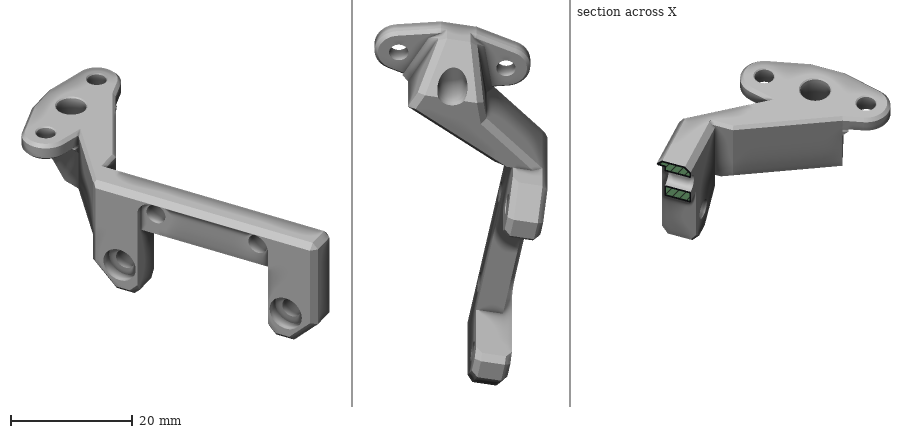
import cadquery as cq
import math


plate_thickness = 3.0
plate_hole_pitch = 18.0
plate_end_radius = 4.0
plate_side_flat = 6.0
side_lean_angle = 15.0
center_hole_diameter = 5.0
plate_hole_diameter = 3.2
hole_chamfer = 0.2
plate_chamfer = 0.55

arm_depth = 12.0
arm_root_y = 6.6
arm_bend_y = -9.46
arm_tip_height = 5.0
edge_chamfer = 1.0

bar_length = 42.0
bar_left = 13.32
bar_front = -18.6
bar_thickness = 6.0
bar_height = 7.7
leg_depth = 20.24
leg_corner_cut = 4.45
bar_hole_pitch = 19.0
bar_hole_depth = 3.75
bar_hole_diameter = 3.5
recess_radius = 2.7
recess_depth = 1.5
leg_hole_pitch = 31.0
leg_hole_depth = 14.8
leg_hole_diameter = 3.4
leg_counterbore_diameter = 6.0
leg_counterbore_depth = 2.0

end_y = plate_hole_pitch / 2
flat_y = plate_side_flat / 2
lean = math.radians(side_lean_angle)
tangent_x = plate_end_radius * math.cos(lean)
tangent_y = end_y + plate_end_radius * math.sin(lean)
plate_half_width = tangent_x + math.tan(lean) * (tangent_y - flat_y)
arm_root_x = tangent_x + math.tan(lean) * (tangent_y - arm_root_y)
flank_angle = math.atan2(arm_root_y - flat_y, arm_root_x + plate_half_width)
slope_run = arm_depth - arm_tip_height
slope_end_x = slope_run - plate_half_width
bar_right = bar_left + bar_length
bar_center = (bar_left + bar_right) / 2
bar_back = bar_front + bar_thickness
gap_half = bar_hole_pitch / 2 + recess_radius


tolerance = 1e-3


def edges_where(solid, condition):
    """Edges whose midpoint satisfies the condition."""
    chosen = [edge for edge in solid.edges().vals() if condition(edge.Center())]
    return solid.newObject(chosen)


def near(value, target):
    return abs(value - target) < tolerance


def plate_prism(depth):
    end = end_y + plate_end_radius
    return (
        cq.Workplane("XY")
        .moveTo(-plate_half_width, -flat_y)
        .lineTo(-tangent_x, -tangent_y)
        .threePointArc((0, -end), (tangent_x, -tangent_y))
        .lineTo(plate_half_width, -flat_y)
        .lineTo(plate_half_width, flat_y)
        .lineTo(tangent_x, tangent_y)
        .threePointArc((0, end), (-tangent_x, tangent_y))
        .lineTo(-plate_half_width, flat_y)
        .close()
        .extrude(-depth)
    )


def make_plate():
    return plate_prism(plate_thickness).faces("<Z").edges().chamfer(plate_chamfer)


def make_arm():
    """Arm from the plate to the bar, with a 45 degree slope under its free end."""
    outline = [
        (-plate_half_width, -flat_y),
        (arm_root_x, -arm_root_y),
        (bar_left, bar_front + edge_chamfer),
        (bar_left, arm_bend_y),
        (arm_root_x, arm_root_y),
        (-plate_half_width, flat_y),
    ]
    slope_cut = (
        cq.Workplane("XZ")
        .moveTo(-plate_half_width, -arm_tip_height)
        .lineTo(-plate_half_width, -arm_depth)
        .lineTo(slope_end_x, -arm_depth)
        .close()
        .extrude(arm_root_y, both=True)
    )
    arm = cq.Workplane("XY").polyline(outline).close().extrude(-arm_depth).cut(slope_cut)

    def is_chamfered(center):
        around_end = center.z < -tolerance and center.x < 0 and abs(center.y) > tolerance
        on_bottom = near(center.z, -arm_depth) and not near(center.x, bar_left)
        on_slope_foot = near(center.x, slope_end_x)
        return around_end or (on_bottom and not on_slope_foot)

    return edges_where(arm, is_chamfered).chamfer(edge_chamfer)


def make_support():
    """45 degree shoulder under the plate, along both flanks of the arm."""
    top_z = -plate_thickness
    wedge_outline = [
        (-plate_half_width, -flat_y),
        (arm_root_x, -arm_root_y),
        (arm_root_x, arm_root_y),
        (-plate_half_width, flat_y),
    ]
    shoulder = (
        cq.Workplane("XY", origin=(0, 0, top_z - edge_chamfer))
        .polyline(wedge_outline)
        .close()
        .extrude(edge_chamfer, taper=-45)
    )
    corner_y = flat_y - edge_chamfer
    corner_run = edge_chamfer * math.cos(flank_angle)
    corner_rise = edge_chamfer * (1 + math.sin(flank_angle))
    far_x = arm_root_x + edge_chamfer
    far_y = corner_y + (far_x + plate_half_width) * corner_rise / corner_run
    corner_planes = (
        cq.Workplane("XY")
        .polyline([
            (-plate_half_width, -corner_y),
            (far_x, -far_y),
            (far_x, far_y),
            (-plate_half_width, corner_y),
        ])
        .close()
        .extrude(top_z - edge_chamfer)
    )
    return shoulder.intersect(corner_planes).intersect(plate_prism(-top_z + edge_chamfer))


def make_bar():
    cut = leg_corner_cut
    inner_left = bar_center - gap_half
    inner_right = bar_center + gap_half
    outline = [
        (bar_left, 0),
        (bar_left, cut - leg_depth),
        (bar_left + cut, -leg_depth),
        (inner_left - edge_chamfer, -leg_depth),
        (inner_left, edge_chamfer - leg_depth),
        (inner_left, -bar_height),
        (inner_right, -bar_height),
        (inner_right, edge_chamfer - leg_depth),
        (inner_right + edge_chamfer, -leg_depth),
        (bar_right - cut, -leg_depth),
        (bar_right, cut - leg_depth),
        (bar_right, 0),
    ]
    bar = cq.Workplane("XZ", origin=(0, bar_back, 0)).polyline(outline).close().extrude(bar_thickness)

    def is_chamfered(center):
        inside_gap = abs(center.x - bar_center) < gap_half + tolerance and center.z < -tolerance
        on_front = near(center.y, bar_front) and not inside_gap
        on_back = near(center.y, bar_back) and not inside_gap and not near(center.x, bar_left)
        right_top = near(center.x, bar_right) and near(center.z, 0)
        return on_front or on_back or right_top

    return edges_where(bar, is_chamfered).chamfer(edge_chamfer)


def make_recess():
    """Front pocket between the legs, rounded about the two bar holes."""
    half_pitch = bar_hole_pitch / 2
    return (
        cq.Workplane("XZ", origin=(0, bar_front + recess_depth, 0))
        .moveTo(bar_center - gap_half, -leg_depth)
        .lineTo(bar_center - gap_half, -bar_hole_depth)
        .radiusArc((bar_center - half_pitch, recess_radius - bar_hole_depth), recess_radius)
        .lineTo(bar_center + half_pitch, recess_radius - bar_hole_depth)
        .radiusArc((bar_center + gap_half, -bar_hole_depth), recess_radius)
        .lineTo(bar_center + gap_half, -leg_depth)
        .close()
        .extrude(recess_depth)
    )


def plate_hole(y, diameter):
    """Upright through hole with a chamfered top rim."""
    hole = cq.Workplane("XY").center(0, y).circle(diameter / 2).extrude(-arm_depth)
    rim_radius = diameter / 2 + hole_chamfer
    rim = cq.Workplane("XY").center(0, y).circle(rim_radius).extrude(-hole_chamfer, taper=45)
    return hole.union(rim)


def front_hole(x, depth, diameter, length):
    """Hole drilled from the front of the bar, its axis at a depth below the top face."""
    return (
        cq.Workplane("XZ", origin=(x, bar_front + length, -depth))
        .circle(diameter / 2)
        .extrude(length)
    )


def top_chamfer_wedge(start, end):
    """Waste of the top chamfer along a straight edge, with the part on the right of the path."""
    path = cq.Vector(end[0] - start[0], end[1] - start[1], 0)
    outward = cq.Vector(-path.y, path.x, 0)
    plane = cq.Plane(origin=(start[0], start[1], 0), xDir=outward, normal=path)
    return (
        cq.Workplane(plane)
        .moveTo(-plate_chamfer, 0)
        .lineTo(0, 0)
        .lineTo(0, -plate_chamfer)
        .close()
        .extrude(path.Length)
    )


def make_joint_wedges():
    """Top chamfers of the arm where it runs into the bar."""
    corner_y = bar_front + edge_chamfer
    slant = -(arm_root_y + corner_y) / (bar_left - arm_root_x)
    past_corner = (bar_left + edge_chamfer, corner_y - slant * edge_chamfer)
    before_corner = (bar_left - edge_chamfer, corner_y + slant * edge_chamfer)
    front_wedge = top_chamfer_wedge(past_corner, before_corner)
    back_start = (bar_left, arm_bend_y + edge_chamfer)
    back_wedge = top_chamfer_wedge(back_start, (bar_left, bar_back - edge_chamfer))
    return front_wedge.union(back_wedge)


body = make_plate().union(make_arm()).union(make_support())
top_edges = edges_where(body, lambda center: near(center.z, 0) and not near(center.x, bar_left))
body = top_edges.chamfer(plate_chamfer)

body = body.union(make_bar()).cut(make_joint_wedges()).cut(make_recess())

body = body.cut(plate_hole(0, center_hole_diameter))
for side in (-1, 1):
    body = body.cut(plate_hole(side * end_y, plate_hole_diameter))
    bar_hole_x = bar_center + side * bar_hole_pitch / 2
    body = body.cut(front_hole(bar_hole_x, bar_hole_depth, bar_hole_diameter, bar_thickness))
    leg_hole_x = bar_center + side * leg_hole_pitch / 2
    body = body.cut(front_hole(leg_hole_x, leg_hole_depth, leg_hole_diameter, bar_thickness))
    body = body.cut(
        front_hole(leg_hole_x, leg_hole_depth, leg_counterbore_diameter, leg_counterbore_depth)
    )

result = body